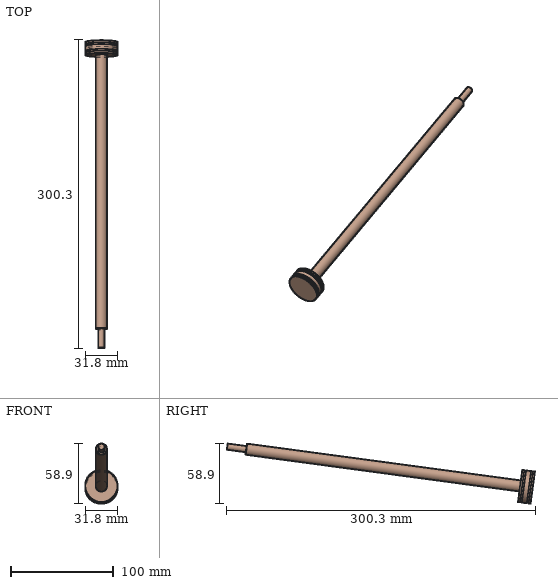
import cadquery as cq
import math

outer_length_y = 300.3
tilt_angle = 7.65
tilt = math.radians(tilt_angle)

head_radius = 31.8 / 2
head_width = 12.5
groove_width = 1.8
groove_inset = 2.0
groove_depth = 0.5

rod_radius = 11.0 / 2
rod_chamfer = 0.45
pin_radius = 6.3 / 2
pin_length = 18.5

total_length = (outer_length_y - (head_radius + pin_radius) * math.sin(tilt)) / math.cos(tilt)
rod_end = total_length - pin_length


def axial_cylinder(radius, start, end):
    """Cylinder running along -Y between two distances from the head's back face."""
    return cq.Workplane("XZ").workplane(offset=start).circle(radius).extrude(end - start)


def head_groove(start):
    """Ring that cuts one rectangular groove around the head."""
    ring = axial_cylinder(head_radius + groove_depth, start, start + groove_width)
    core = axial_cylinder(head_radius - groove_depth, start, start + groove_width)
    return ring.cut(core)


head = axial_cylinder(head_radius, 0, head_width)
for groove_start in (groove_inset, head_width - groove_inset - groove_width):
    head = head.cut(head_groove(groove_start))

rod = axial_cylinder(rod_radius, 0, rod_end).faces("<Y").chamfer(rod_chamfer)
pin = axial_cylinder(pin_radius, 0, total_length)
piston = head.union(rod).union(pin)

tilted = piston.rotate((0, 0, 0), (1, 0, 0), -tilt_angle)
middle_y = -total_length * math.cos(tilt) / 2 + (head_radius - pin_radius) * math.sin(tilt) / 2
middle_z = (total_length * math.sin(tilt) + (pin_radius - head_radius) * math.cos(tilt)) / 2
result = tilted.translate((0, -middle_y, -middle_z))